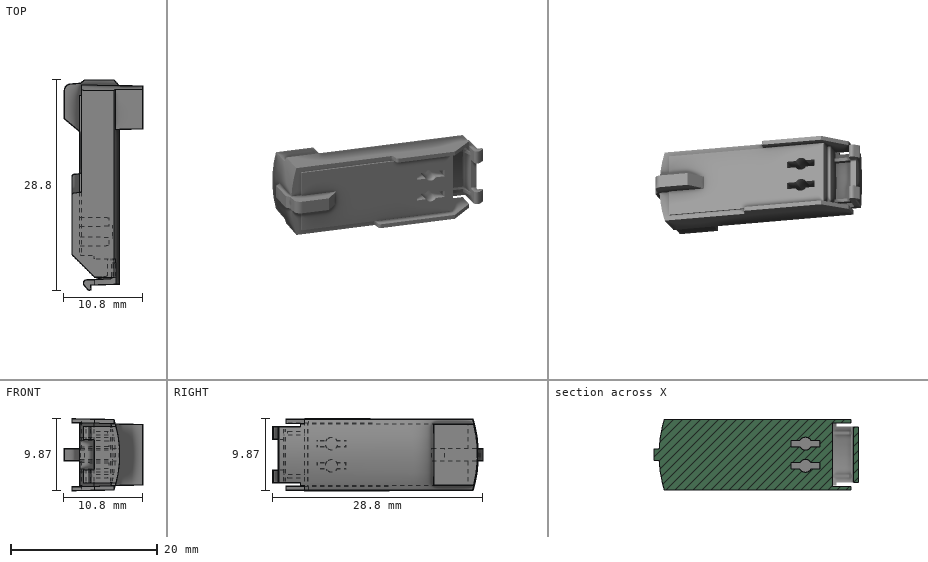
import cadquery as cq
import math

DRAFT = 1.0
SLOPE = math.tan(math.radians(DRAFT))

PLATE_FRONT_X = -4.32
HOUSING_FRONT_X = -3.0
HOUSING_SIDE_X = 1.42
BACK_X = 2.22
HALF_WIDTH = 4.935
PLATE_THICK = 0.56
BACK_THICK = 0.6

END_CROWN_Y = 13.74
END_CORNER_Y = 13.0
CORE_STEP_Y = -9.57
CORE_END_Y = -10.08
CORE_STEP_X = -1.3
CORE_STEP_RADIUS = 0.18
CORE_STEP_LEAN = 0.08
PLATE_END_Y = -12.6

PLATE_CHAMFER_X = -1.2
PLATE_CHAMFER_Y = -9.49
UPPER_STEP_Y = -0.98
LOWER_STEP_Y = 1.59
STEP_OUTER_RADIUS = 0.35
STEP_INNER_RADIUS = 0.25
STEP_LEAN = 0.08

PANEL_FRONT_X = -3.27
PANEL_TOP_Y = 12.3
PANEL_HALF_WIDTH = 4.22
OPENING_Y = -6.36
OPENING_Z = 1.52
OPENING_DIAMETER = 1.7
SLOT_LENGTH = 3.96
SLOT_WIDTH = 0.9
SLOT_DEPTH = 4.0
ROUND_DEPTH = 4.5

BLOCK_BACK_X = 5.375
BLOCK_LOW_Y = 7.62
BLOCK_HALF_WIDTH = 4.22

FIN_FRONT_X = -5.375
FIN_THICK = 1.7
FIN_TOP_Y = 14.4
FIN_SHOULDER_Y = 13.87
FIN_RISE_START = (-3.15, 13.97)
FIN_TOP_FRONT_X = -2.6
FIN_TOP_BACK_X = 1.46
FIN_BACK_X = 2.15
FIN_BACK_Y = 13.6
FIN_FACE_LOW_Y = 9.1
FIN_FOOT_Y = 7.34
FIN_ROOT_Y = 12.5
FIN_CORNER_RADIUS = 0.95

TONGUE_NECK_Y = -10.62
TONGUE_HALF_WIDTH = 3.86
TONGUE_END_Y = -13.55
STRIP_END_Y = -13.0
HOOK_INNER_Z = 2.12
NOTCH_X = -1.25
NOTCH_RADIUS = 0.25
HOOK_TIP_Y = -14.4
WALL_CORNER_X = 1.15
WALL_CHAMFER = 0.2
WALL_INNER_Y = -12.65
WALL_INNER_LEAN = 0.18
HOOK_ARC_START = (-2.4, -12.93)
HOOK_ARC_MIDDLE = (-2.74, -13.3)
HOOK_ARC_END = (-2.61, -13.76)
HOOK_SLOPE_END = (-2.13, -14.28)
HOOK_TIP_X = -1.95
HOOK_HEEL = (-1.68, -14.28)
HOOK_THROAT = (-1.75, -13.68)
RIB_FRONT_X = 0.55
RIB_END_Y = -12.38
GUSSET_TIP = (-1.2, -12.93)
RIB_THICK = 0.44
RIB_Z = 2.95

Y_TOP = 15.0
TRIM_MARGIN = 1.0


def half_width(x):
    """Half width of the drafted housing sides at a given X."""
    return HALF_WIDTH - SLOPE * (x - PLATE_FRONT_X)


def prism_y(sketch, y_low, y_high):
    """Extrude an XZ outline between two Y positions."""
    return sketch.extrude(y_high - y_low).translate((0, y_high, 0))


def prism_z(sketch, z_low, z_high):
    """Extrude an XY outline between two Z positions."""
    return sketch.extrude(z_high - z_low).translate((0, 0, z_low))


def box(x_range, y_range, z_range):
    """Box given by its limits along each axis."""
    size = [high - low for low, high in (x_range, y_range, z_range)]
    corner = (x_range[0], y_range[0], z_range[0])
    return cq.Workplane("XY").box(*size, centered=False).translate(corner)


def section(front_x, inset=0.0, back_inset=0.0):
    """Housing XZ outline: drafted flat sides closed by a bowed back."""
    front_z = half_width(front_x) - inset
    side_x = HOUSING_SIDE_X - back_inset
    side_z = half_width(HOUSING_SIDE_X) - inset
    return (
        cq.Workplane("XZ")
        .moveTo(front_x, -front_z)
        .lineTo(side_x, -side_z)
        .threePointArc((BACK_X - back_inset, 0), (side_x, side_z))
        .lineTo(front_x, front_z)
        .close()
    )


def make_core():
    """Solid housing core, before its lower end is stepped."""
    return prism_y(section(HOUSING_FRONT_X), CORE_END_Y, Y_TOP)


def make_end_step():
    """Cutter for the step across the lower end of the core and front panel."""
    radius = CORE_STEP_RADIUS
    step = (
        cq.Workplane("XY")
        .moveTo(PANEL_FRONT_X, CORE_STEP_Y)
        .lineTo(CORE_STEP_X, CORE_STEP_Y - CORE_STEP_LEAN)
        .lineTo(CORE_STEP_X, CORE_END_Y + radius)
        .radiusArc((CORE_STEP_X + radius, CORE_END_Y), -radius)
        .lineTo(PANEL_FRONT_X, CORE_END_Y)
        .close()
    )
    return prism_z(step, -HALF_WIDTH, HALF_WIDTH)


def make_back_strip():
    """Bowed back wall reaching past the core to the latch tongue."""
    outer = prism_y(section(HOUSING_FRONT_X), STRIP_END_Y, CORE_END_Y)
    inner = prism_y(section(HOUSING_FRONT_X, 0, BACK_THICK), STRIP_END_Y, CORE_END_Y)
    strip = outer.cut(inner)
    neck = box((HOUSING_FRONT_X, BACK_X), (STRIP_END_Y, TONGUE_NECK_Y),
               (-TONGUE_HALF_WIDTH, TONGUE_HALF_WIDTH))
    shoulder = box((HOUSING_FRONT_X, BACK_X), (TONGUE_NECK_Y, CORE_END_Y),
                   (-PANEL_HALF_WIDTH, PANEL_HALF_WIDTH))
    return strip.intersect(neck.union(shoulder))


def make_plate(step_y, side):
    """Side plate; side is +1 for the upper one and -1 for the lower one."""
    outer_y = step_y - STEP_LEAN
    outline = (
        cq.Workplane("XY")
        .moveTo(HOUSING_FRONT_X, step_y + STEP_INNER_RADIUS)
        .radiusArc((HOUSING_FRONT_X - STEP_INNER_RADIUS, step_y), STEP_INNER_RADIUS)
        .lineTo(PLATE_FRONT_X + STEP_OUTER_RADIUS, outer_y)
        .radiusArc((PLATE_FRONT_X, outer_y - STEP_OUTER_RADIUS), -STEP_OUTER_RADIUS)
        .lineTo(PLATE_FRONT_X, PLATE_CHAMFER_Y)
        .lineTo(PLATE_CHAMFER_X, PLATE_END_Y)
        .lineTo(HOUSING_SIDE_X, PLATE_END_Y)
        .lineTo(HOUSING_SIDE_X, step_y)
        .close()
    )
    profile = prism_z(outline, min(0, side * HALF_WIDTH), max(0, side * HALF_WIDTH))
    outer = prism_y(section(PLATE_FRONT_X), PLATE_END_Y, Y_TOP)
    inner = prism_y(section(PLATE_FRONT_X, PLATE_THICK), PLATE_END_Y, Y_TOP)
    return outer.cut(inner).intersect(profile)


def make_block():
    """Drafted block standing on the back of the housing."""
    height = BLOCK_BACK_X - HOUSING_SIDE_X
    block = (
        cq.Workplane("YZ")
        .center((BLOCK_LOW_Y + Y_TOP) / 2, 0)
        .rect(Y_TOP - BLOCK_LOW_Y, 2 * BLOCK_HALF_WIDTH)
        .extrude(height, taper=DRAFT)
    )
    return block.translate((HOUSING_SIDE_X, 0, 0))


def trim_bowed_end(body):
    """Trim the +Y end to a bowed surface that leans with the draft."""
    corner_z = half_width(HOUSING_FRONT_X)
    keep = (
        cq.Workplane("YZ")
        .moveTo(HOOK_TIP_Y, -corner_z)
        .lineTo(END_CORNER_Y, -corner_z)
        .threePointArc((END_CROWN_Y, 0), (END_CORNER_Y, corner_z))
        .lineTo(HOOK_TIP_Y, corner_z)
        .close()
        .extrude(BLOCK_BACK_X - HOUSING_FRONT_X + TRIM_MARGIN)
        .translate((HOUSING_FRONT_X, 0, 0))
    )
    pivot = (HOUSING_FRONT_X, END_CROWN_Y, 0)
    pivot_end = (HOUSING_FRONT_X, END_CROWN_Y, 1)
    keep = keep.rotate(pivot, pivot_end, -DRAFT)
    lower = box((HOUSING_FRONT_X, BLOCK_BACK_X), (HOOK_TIP_Y, BLOCK_LOW_Y - TRIM_MARGIN),
                (-HALF_WIDTH, HALF_WIDTH))
    return body.intersect(keep.union(lower))


def make_front_panel():
    """Raised rectangular panel on the front face."""
    return box((PANEL_FRONT_X, HOUSING_FRONT_X), (CORE_END_Y, PANEL_TOP_Y),
               (-PANEL_HALF_WIDTH, PANEL_HALF_WIDTH))


def make_contact_openings():
    """Two blind slots, each with a round opening at its middle."""
    centres = [(OPENING_Y, -OPENING_Z), (OPENING_Y, OPENING_Z)]
    plane = cq.Workplane("YZ").pushPoints(centres)
    slots = plane.rect(SLOT_LENGTH, SLOT_WIDTH).extrude(SLOT_DEPTH, taper=DRAFT)
    rounds = plane.circle(OPENING_DIAMETER / 2).extrude(ROUND_DEPTH)
    return slots.union(rounds).translate((PANEL_FRONT_X, 0, 0))


def make_fin():
    """Central fin wrapping over the bowed end."""
    outline = (
        cq.Workplane("XY")
        .moveTo(FIN_FRONT_X, FIN_FACE_LOW_Y)
        .lineTo(FIN_FRONT_X, FIN_SHOULDER_Y - FIN_CORNER_RADIUS)
        .radiusArc((FIN_FRONT_X + FIN_CORNER_RADIUS, FIN_SHOULDER_Y), FIN_CORNER_RADIUS)
        .lineTo(*FIN_RISE_START)
        .lineTo(FIN_TOP_FRONT_X, FIN_TOP_Y)
        .lineTo(FIN_TOP_BACK_X, FIN_TOP_Y)
        .lineTo(FIN_BACK_X, FIN_BACK_Y)
        .lineTo(FIN_BACK_X, FIN_ROOT_Y)
        .lineTo(PANEL_FRONT_X, FIN_FOOT_Y)
        .close()
    )
    return prism_z(outline, -FIN_THICK / 2, FIN_THICK / 2)


def make_tongue():
    """End wall of the latch with a hook at each side."""
    outline = (
        cq.Workplane("XY")
        .moveTo(BACK_X, WALL_INNER_Y)
        .lineTo(WALL_CORNER_X, WALL_INNER_Y)
        .lineTo(WALL_CORNER_X - WALL_CHAMFER, WALL_INNER_Y - WALL_INNER_LEAN)
        .lineTo(*HOOK_ARC_START)
        .threePointArc(HOOK_ARC_MIDDLE, HOOK_ARC_END)
        .lineTo(*HOOK_SLOPE_END)
        .lineTo(HOOK_TIP_X, HOOK_TIP_Y)
        .lineTo(*HOOK_HEEL)
        .lineTo(*HOOK_THROAT)
        .lineTo(BACK_X, TONGUE_END_Y)
        .close()
    )
    wall = prism_z(outline, -TONGUE_HALF_WIDTH, TONGUE_HALF_WIDTH)
    notch = box((HOUSING_FRONT_X, NOTCH_X), (HOOK_TIP_Y, PLATE_END_Y), (-HOOK_INNER_Z, HOOK_INNER_Z))
    notch = notch.edges(">X and |Y").fillet(NOTCH_RADIUS)
    limit = prism_y(section(HOUSING_FRONT_X), HOOK_TIP_Y, CORE_END_Y)
    return wall.cut(notch).intersect(limit)


def make_rib(z):
    """Stiffening rib on the inside of the back strip."""
    outline = (
        cq.Workplane("XY")
        .moveTo(HOUSING_SIDE_X, CORE_END_Y)
        .lineTo(RIB_FRONT_X, CORE_END_Y)
        .lineTo(RIB_FRONT_X, RIB_END_Y)
        .lineTo(*GUSSET_TIP)
        .lineTo(HOUSING_SIDE_X, GUSSET_TIP[1])
        .close()
    )
    return prism_z(outline, z - RIB_THICK / 2, z + RIB_THICK / 2)


housing = trim_bowed_end(make_core().union(make_block()))
housing = housing.union(make_front_panel()).cut(make_end_step())
result = (
    housing
    .union(make_back_strip())
    .union(make_plate(UPPER_STEP_Y, 1))
    .union(make_plate(LOWER_STEP_Y, -1))
    .cut(make_contact_openings())
    .union(make_fin())
    .union(make_tongue())
    .union(make_rib(RIB_Z))
    .union(make_rib(-RIB_Z))
)